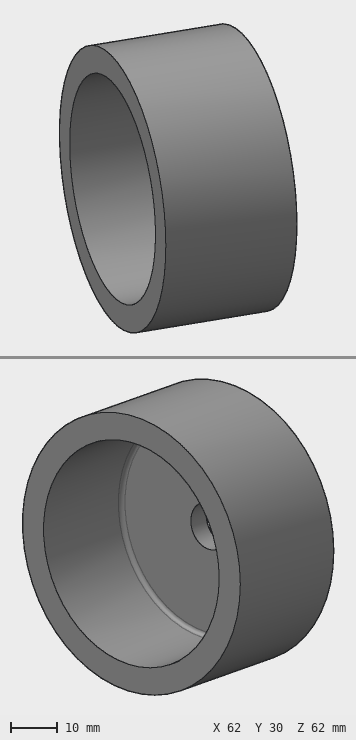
import cadquery as cq

outer_diameter = 62.0
length = 30.0
bore_diameter = 50.0
floor_thickness = 5.0
corner_radius = 1.0
hole_diameter = 10.5

bore_depth = length - floor_thickness
open_end_y = -length / 2


def cylinder_from_open_end(diameter, depth):
    """Cylinder along Y that starts at the open end and runs toward +Y."""
    open_end = cq.Workplane("XZ", origin=(0, open_end_y, 0))
    return open_end.circle(diameter / 2).extrude(-depth)


body = cylinder_from_open_end(outer_diameter, length)

bore = cylinder_from_open_end(bore_diameter, bore_depth)
bore = bore.faces(">Y").edges().fillet(corner_radius)

center_hole = cylinder_from_open_end(hole_diameter, length)

result = body.cut(bore).cut(center_hole)